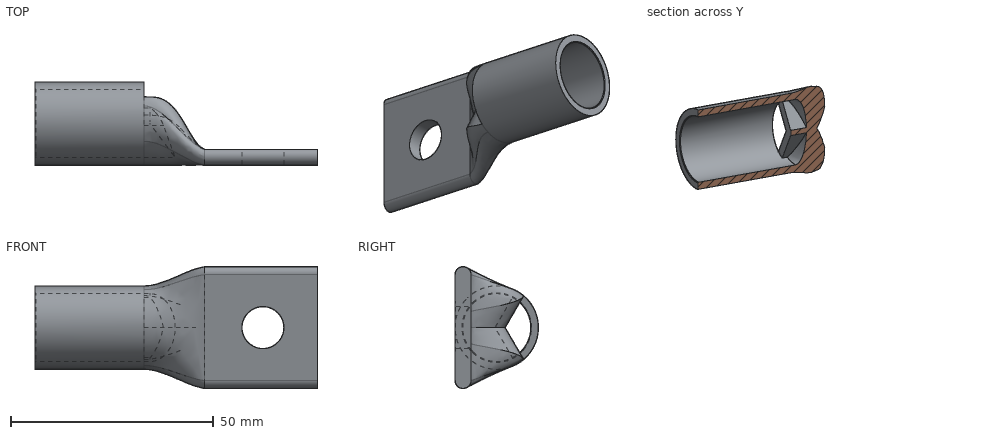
import cadquery as cq
import math


total_length = 69.85
barrel_diameter = 20.65
tongue_width = 30.16

barrel_length = 27.0
bore_diameter = 16.8
mouth_chamfer = 0.2

tongue_start = 41.95
tongue_thickness = 3.97
hole_diameter = 10.32
hole_to_end = 13.5

side_arc_half_angle = 25.0
crease_half_angle = 60.0
outer_crease_y = 2.1
inner_crease_y = -0.42
pocket_rise = 3.0
pocket_tilt = 20.0
section_count = 7
side_end_slope = 0.5
lip_z_at_tongue = 4.0
crease_delay = 1.7

barrel_radius = barrel_diameter / 2
bore_radius = bore_diameter / 2
tongue_mid = -barrel_radius + tongue_thickness / 2


def ease(t, end_slope=0):
    """Cubic progress from 0 to 1 that starts level and ends with the given slope."""
    return t**2 * (3 - 2 * t) + end_slope * (t**3 - t**2)


def polar(radius, angle):
    """Point (Y, Z) at an angle in degrees measured from +Y."""
    return (radius * math.cos(math.radians(angle)), radius * math.sin(math.radians(angle)))


def lip_angle(radius, crease_y):
    """Angle at which the crease flank meets the circle of the given radius."""
    offset = math.asin(crease_y * math.sin(math.radians(crease_half_angle)) / radius)
    return crease_half_angle - math.degrees(offset)


def round_outline(radius, crease_y):
    """Upper-half points (Y, Z) of the creased circle, from the front middle to the crease."""
    lip = lip_angle(radius, crease_y)
    back_tangent = 90 - side_arc_half_angle
    return [
        (-radius, 0),
        polar(radius, 90 + side_arc_half_angle),
        (0, radius),
        polar(radius, back_tangent),
        polar(radius, (back_tangent + lip) / 2),
        polar(radius, lip),
        (crease_y, 0),
    ]


def flat_outline(thickness, width, lip_z):
    """Matching upper-half points of a flat bar with fully rounded edges."""
    edge_radius = thickness / 2
    tangent_z = width / 2 - edge_radius
    front = tongue_mid - edge_radius
    back = tongue_mid + edge_radius
    return [
        (front, 0),
        (front, tangent_z),
        (tongue_mid, width / 2),
        (back, tangent_z),
        (back, (tangent_z + lip_z) / 2),
        (back, lip_z),
        (back, 0),
    ]


def section_wire(x, points, is_flat):
    """Closed section symmetric about Z = 0; a flat section has straight front and back."""
    def place(point, side=1):
        return cq.Vector(x, point[0], side * point[1])

    def bend(start, middle, end):
        if is_flat:
            return cq.Edge.makeLine(start, end)
        return cq.Edge.makeThreePointArc(start, middle, end)

    front, front_tangent, edge, back_tangent, lip_middle, lip, crease = points
    edges = [
        bend(place(front_tangent, -1), place(front), place(front_tangent)),
        cq.Edge.makeThreePointArc(place(front_tangent), place(edge), place(back_tangent)),
        bend(place(back_tangent), place(lip_middle), place(lip)),
        cq.Edge.makeLine(place(lip), place(crease)),
        cq.Edge.makeLine(place(crease), place(lip, -1)),
        bend(place(lip, -1), place(lip_middle, -1), place(back_tangent, -1)),
        cq.Edge.makeThreePointArc(place(back_tangent, -1), place(edge, -1), place(front_tangent, -1)),
    ]
    return cq.Wire.assembleEdges(edges)


def make_transition():
    """Smooth solid that turns the creased circle into the flat tongue section."""
    start_points = round_outline(barrel_radius, outer_crease_y)
    end_points = flat_outline(tongue_thickness, tongue_width, lip_z_at_tongue)
    side_points = 4
    crease_points = len(start_points) - side_points
    wires = []
    for index in range(section_count):
        t = index / (section_count - 1)
        side = ease(t, side_end_slope)
        crease = ease(t**crease_delay)
        depths = [side] * side_points + [crease] * crease_points
        points = [
            (y0 + depth * (y1 - y0), z0 + side * (z1 - z0))
            for depth, (y0, z0), (y1, z1) in zip(depths, start_points, end_points)
        ]
        x = barrel_length + t * (tongue_start - barrel_length)
        wires.append(section_wire(x, points, index == section_count - 1))
    return cq.Workplane(obj=cq.Solid.makeLoft(wires))


def make_pocket():
    """Blind end of the bore on the -Y side of the inner crease, with a hollow tilted end."""
    reach = barrel_diameter
    lip_y = polar(bore_radius, lip_angle(bore_radius, inner_crease_y))[0]
    hollow_end = (
        cq.Workplane("XZ")
        .moveTo(-reach, -bore_radius)
        .lineTo(0, -bore_radius)
        .ellipseArc(pocket_rise, bore_radius, -90, 90, startAtCurrent=True)
        .lineTo(-reach, bore_radius)
        .close()
        .extrude(reach, both=True)
        .rotate((0, 0, 0), (0, 0, 1), pocket_tilt)
        .translate((barrel_length, lip_y, 0))
    )
    flank_z = barrel_radius
    flank_y = inner_crease_y + flank_z / math.tan(math.radians(crease_half_angle))
    below_crease = (
        cq.Workplane("YZ", origin=(barrel_length, 0, 0))
        .polyline([
            (inner_crease_y, 0),
            (flank_y, flank_z),
            (-barrel_radius, flank_z),
            (-barrel_radius, -flank_z),
            (flank_y, -flank_z),
        ])
        .close()
        .extrude(reach)
    )
    bore = cq.Workplane("YZ", origin=(barrel_length, 0, 0)).circle(bore_radius).extrude(reach)
    return bore.intersect(below_crease).intersect(hollow_end)


def make_barrel():
    """Tube with a small chamfer at the mouth of the bore."""
    tube = cq.Workplane("YZ").circle(barrel_radius).circle(bore_radius).extrude(barrel_length)
    mouth = cq.Solid.makeCone(
        bore_radius + mouth_chamfer, bore_radius, mouth_chamfer, cq.Vector(0, 0, 0), cq.Vector(1, 0, 0)
    )
    return tube.cut(cq.Workplane(obj=mouth))


def make_tongue():
    """Flat bar with fully rounded long edges and a bolt hole."""
    tongue_length = total_length - tongue_start
    rounded = (
        cq.Workplane("YZ", origin=(tongue_start, tongue_mid, 0))
        .slot2D(tongue_width, tongue_thickness, 90)
        .extrude(tongue_length)
    )
    hole = (
        cq.Workplane("XZ", origin=(total_length - hole_to_end, tongue_mid, 0))
        .circle(hole_diameter / 2)
        .extrude(tongue_thickness, both=True)
    )
    return rounded.cut(hole)


transition = make_transition().cut(make_pocket())
result = make_barrel().union(transition).union(make_tongue())